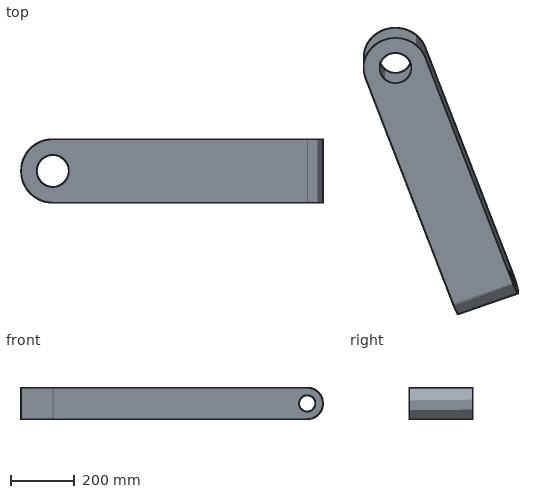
import cadquery as cq

length = 950.0
width = 200.0
thickness = 100.0
vertical_bore_diameter = 100.0
cross_bore_diameter = 50.0

vertical_end_radius = width / 2
cross_end_radius = thickness / 2
vertical_axis_x = -length / 2 + vertical_end_radius
cross_axis_x = length / 2 - cross_end_radius


def plan_body():
    """Bar with a half round about Z at the -X end and a square +X end."""
    return (
        cq.Workplane("XY", origin=(0, 0, -thickness / 2))
        .moveTo(length / 2, -width / 2)
        .lineTo(length / 2, width / 2)
        .lineTo(vertical_axis_x, width / 2)
        .threePointArc((-length / 2, 0), (vertical_axis_x, -width / 2))
        .close()
        .extrude(thickness)
    )


def side_body():
    """Bar with a half round about Y at the +X end and a square -X end."""
    return (
        cq.Workplane("XZ", origin=(0, width / 2, 0))
        .moveTo(-length / 2, -thickness / 2)
        .lineTo(cross_axis_x, -thickness / 2)
        .threePointArc((length / 2, 0), (cross_axis_x, thickness / 2))
        .lineTo(-length / 2, thickness / 2)
        .close()
        .extrude(width)
    )


def vertical_bore():
    """Through bore along Z, concentric with the -X end."""
    return (
        cq.Workplane("XY", origin=(vertical_axis_x, 0, -thickness / 2))
        .circle(vertical_bore_diameter / 2)
        .extrude(thickness)
    )


def cross_bore():
    """Through bore along Y, concentric with the +X end."""
    return (
        cq.Workplane("XZ", origin=(cross_axis_x, width / 2, 0))
        .circle(cross_bore_diameter / 2)
        .extrude(width)
    )


link = plan_body().intersect(side_body())
result = link.cut(vertical_bore()).cut(cross_bore())